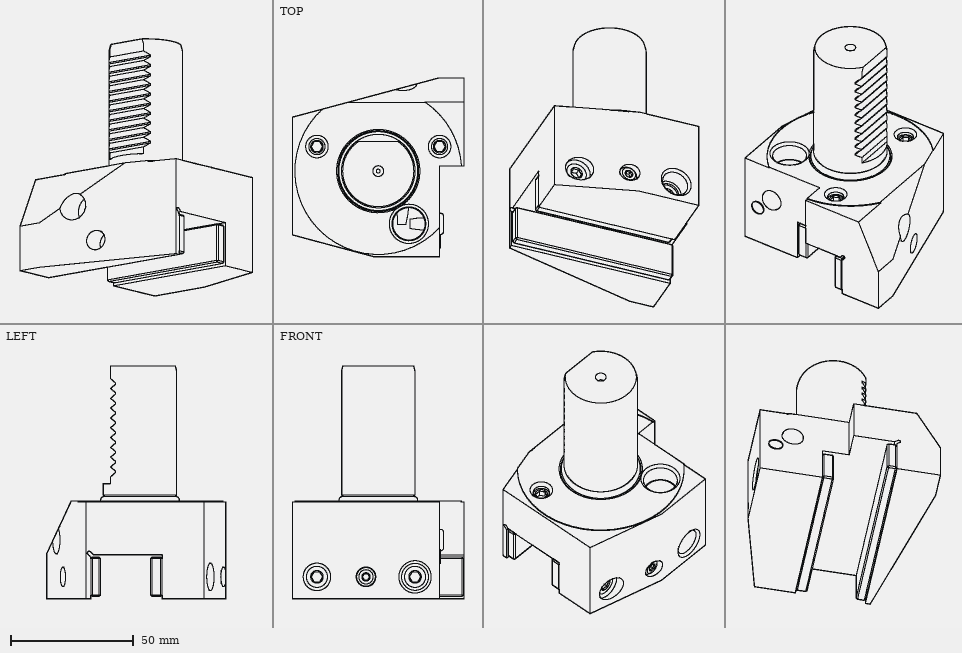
import cadquery as cq
import math

block_left = -35.0
block_right = 35.0
block_front = -35.0
block_back = 38.0
block_bottom = -40.0
step_x = 25.0
step_y = 2.0
flank_angle = 15.0
flank_slope = math.tan(math.radians(flank_angle))
front_corner_x = -1.6
back_corner_x = 24.6
disc_radius = 34.0
disc_height = 0.4
bevel_top_y = 28.0
bevel_angle = 25.0

channel_front = -9.0
channel_back = 20.0
channel_top = -22.0
relief_width = 1.4
relief_reach = 1.0
back_pad_thickness = 4.0
front_pad_thickness = 4.7
pad_top = -23.0
pad_bottom = -39.0
pad_end_gap = 0.3
pad_chamfer = 0.6

shank_radius = 15.0
shank_top = 55.0
tip_chamfer_height = 2.0
tip_chamfer_width = 0.5
shank_flat_y = 12.0
shank_flat_bottom = 7.0
tooth_count = 10
tooth_pitch = 4.0
tooth_depth = 2.0
first_tooth_z = 11.8
tooth_root = 0.6
neck_radius = 14.4
neck_top = 2.4
ring_center_radius = 14.6
ring_center_z = 0.3
ring_section_radius = 1.5
ring_groove_mouth_radius = 17.0
ring_groove_radius = 16.5
ring_groove_depth = 1.5
center_hole_radius = 2.2
center_drill_radius = 0.8
center_hole_depth = 5.0
center_hole_half_angle = 30.0

screw_z = -31.0
socket_across_flats = 4.0
socket_depth = 3.0
socket_chamfer = 0.5
screw_face_radius = 4.3

flank_screw_x = -25.0
flank_bore_radius = 5.6
flank_bore_depth = 8.5
flank_screw_depth = 9.5

face_screw_x = 15.0
face_bore_radius = 5.5
face_mouth_radius = 6.6
face_bore_depth = 8.0
face_screw_depth = 9.0

lock_screw_x = -5.0
lock_bore_radius = 4.0
lock_bore_depth = 6.0
lock_head_radius = 3.8
lock_head_face_radius = 2.9
lock_head_depth = 2.0
lock_socket_across_flats = 2.5
lock_socket_depth = 2.0

top_screw_x = 25.0
top_screw_y = 10.0
top_mouth_radius = 4.6
top_bore_radius = 3.3
top_screw_depth = 2.5

coolant_x = 12.5
coolant_y = -21.5
coolant_mouth_radius = 8.0
coolant_radius = 6.9
coolant_lower_radius = 6.6
coolant_step_depth = 8.1
coolant_depth = 16.2
coolant_tip_depth = 18.2
side_passage_radius = 2.5
side_passage_end_x = 12.9
cross_passage_radius = 2.3
passage_z = -16.0
cross_passage_x = 10.0
cross_passage_end_y = -21.8
plug_bore_radius = 5.6
back_hole_radius = 4.0
back_hole_x = 0.0
back_bore_depth = 14.0
nozzle_radius = 4.4
nozzle_height = 1.7
nozzle_rounding = 1.4
nozzle_embed = 1.0
retainer_y = -28.5
retainer_z = -22.7
retainer_radius = 2.9
retainer_height = 0.4

upward = (0, 0, 1)
downward = (0, 0, -1)
rightward = (1, 0, 0)
rearward = (0, 1, 0)
forward = (0, -1, 0)

block_length = block_right - block_left
front_flank_y = block_front + (front_corner_x - block_left) * flank_slope
back_flank_y = block_back - (back_corner_x - block_left) * flank_slope


def axis_plane(base, direction):
    """Plane at base whose normal points along direction."""
    side = rearward if direction == rightward else rightward
    return cq.Plane(base, side, direction)


def revolved(profile, base=(0, 0, 0), direction=upward):
    """Turn (radius, height) points about an axis through base along direction."""
    turned = cq.Workplane("XZ").polyline(profile).close().revolve(360, (0, 0, 0), (0, 1, 0))
    placed = turned.val().located(cq.Location(axis_plane(base, direction)))
    return cq.Workplane(placed)


def cylinder(base, direction, radius, length):
    return cq.Workplane(axis_plane(base, direction)).circle(radius).extrude(length)


def hex_socket(base, direction, across_flats, depth):
    """Hexagonal recess with a round countersunk mouth, growing from base along direction."""
    across_corners = across_flats / math.cos(math.pi / 6)
    mouth = (across_corners + socket_chamfer) / 2
    hexagon = cq.Workplane(axis_plane(base, direction)).polygon(6, across_corners).extrude(depth)
    lead_in = revolved([
        (0, 0),
        (mouth, 0),
        (mouth - socket_chamfer, socket_chamfer),
        (0, socket_chamfer),
    ], base, direction)
    return hexagon.union(lead_in)


def make_block():
    outline = (
        cq.Workplane("XY", origin=(0, 0, block_bottom))
        .polyline([
            (block_left, front_flank_y),
            (front_corner_x, block_front),
            (step_x, block_front),
            (step_x, step_y),
            (block_right, step_y),
            (block_right, block_back),
            (back_corner_x, block_back),
            (block_left, back_flank_y),
        ])
        .close()
        .extrude(-block_bottom)
    )
    disc = cylinder((0, 0, -disc_height), upward, disc_radius, disc_height)
    top_layer = (
        cq.Workplane("XY", origin=(0, 0, -disc_height))
        .rect(2 * block_length, 2 * block_length)
        .extrude(disc_height)
    )
    body = outline.cut(top_layer.cut(disc))
    bevel_drop = (block_back - bevel_top_y) / math.tan(math.radians(bevel_angle))
    bevel = (
        cq.Workplane("YZ", origin=(block_left, 0, 0))
        .polyline([(bevel_top_y, 0), (block_back, 0), (block_back, -bevel_drop)])
        .close()
        .extrude(block_length)
    )
    return body.cut(bevel)


def make_channel():
    channel = cq.Workplane("XY", origin=(block_left, channel_front, block_bottom)).box(
        block_length, channel_back - channel_front, channel_top - block_bottom, centered=False
    )
    relief = (
        cq.Workplane("YZ", origin=(block_left, channel_back, channel_top))
        .transformed(rotate=(0, 0, 45))
        .slot2D(2 * relief_reach + relief_width, relief_width)
        .extrude(block_length)
    )
    return channel.union(relief)


def make_pad(x_end, y_start, thickness):
    x_start = block_left + pad_end_gap
    return (
        cq.Workplane("XY")
        .box(x_end - x_start, thickness, pad_top - pad_bottom, centered=False)
        .edges()
        .chamfer(pad_chamfer)
        .translate((x_start, y_start, pad_bottom))
    )


def make_shank():
    tip_radius = shank_radius - tip_chamfer_width
    shank = revolved([
        (0, -ring_groove_depth),
        (neck_radius, -ring_groove_depth),
        (neck_radius, neck_top - (shank_radius - neck_radius)),
        (shank_radius, neck_top),
        (shank_radius, shank_top - tip_chamfer_height),
        (tip_radius, shank_top),
        (0, shank_top),
    ])
    flat = (
        cq.Workplane("XY", origin=(0, shank_flat_y + shank_radius / 2, shank_flat_bottom))
        .rect(2 * shank_radius, shank_radius)
        .extrude(shank_top - shank_flat_bottom)
    )
    shank = shank.cut(flat)
    for index in range(tooth_count):
        groove = (
            cq.Workplane("YZ", origin=(-shank_radius, shank_flat_y, first_tooth_z + index * tooth_pitch))
            .polyline([
                (0, -tooth_pitch / 2),
                (-tooth_depth, -tooth_root / 2),
                (-tooth_depth, tooth_root / 2),
                (0, tooth_pitch / 2),
            ])
            .close()
            .extrude(2 * shank_radius)
        )
        shank = shank.cut(groove)
    countersink_width = center_hole_radius - center_drill_radius
    countersink_depth = countersink_width / math.tan(math.radians(center_hole_half_angle))
    center_hole = revolved([
        (0, 0),
        (center_hole_radius, 0),
        (center_drill_radius, countersink_depth),
        (center_drill_radius, center_hole_depth),
        (0, center_hole_depth),
    ], (0, 0, shank_top), downward)
    return shank.cut(center_hole)


def make_seal_ring():
    return (
        cq.Workplane("XZ")
        .center(ring_center_radius, ring_center_z)
        .circle(ring_section_radius)
        .revolve(360, (-ring_center_radius, 0, 0), (-ring_center_radius, 1, 0))
    )


def make_ring_groove():
    mouth_chamfer = ring_groove_mouth_radius - ring_groove_radius
    return revolved([
        (0, 0),
        (ring_groove_mouth_radius, 0),
        (ring_groove_radius, mouth_chamfer),
        (ring_groove_radius, ring_groove_depth),
        (0, ring_groove_depth),
    ], direction=downward)


def make_flank_screw_bore():
    """Cylindrical bore and conical shoulder leading to a recessed set screw."""
    bore = revolved([
        (0, 0),
        (flank_bore_radius, 0),
        (flank_bore_radius, flank_bore_depth),
        (screw_face_radius, flank_screw_depth),
        (0, flank_screw_depth),
    ], (flank_screw_x, block_front, screw_z), rearward)
    socket_base = (flank_screw_x, block_front + flank_screw_depth, screw_z)
    return bore.union(hex_socket(socket_base, rearward, socket_across_flats, socket_depth))


def make_face_screw_bore():
    """Chamfered bore with a flat floor, in which a set screw is sunk."""
    mouth_chamfer = face_mouth_radius - face_bore_radius
    bore = revolved([
        (0, 0),
        (face_mouth_radius, 0),
        (face_bore_radius, mouth_chamfer),
        (face_bore_radius, face_bore_depth),
        (screw_face_radius, face_bore_depth),
        (screw_face_radius, face_screw_depth),
        (0, face_screw_depth),
    ], (face_screw_x, block_front, screw_z), rearward)
    socket_base = (face_screw_x, block_front + face_screw_depth, screw_z)
    return bore.union(hex_socket(socket_base, rearward, socket_across_flats, socket_depth))


def make_top_screw_bore(x):
    mouth_chamfer = top_mouth_radius - top_bore_radius
    bore = revolved([
        (0, 0),
        (top_mouth_radius, 0),
        (top_bore_radius, mouth_chamfer),
        (top_bore_radius, top_screw_depth),
        (0, top_screw_depth),
    ], (x, top_screw_y, 0), downward)
    socket_base = (x, top_screw_y, -top_screw_depth)
    return bore.union(hex_socket(socket_base, downward, socket_across_flats, socket_depth))


def make_lock_screw():
    """Chamfered screw head that stands in the lock screw bore."""
    base = (lock_screw_x, block_front + lock_head_depth, screw_z)
    length = lock_bore_depth - lock_head_depth
    head = revolved([
        (0, 0),
        (lock_head_face_radius, 0),
        (lock_head_radius, lock_head_radius - lock_head_face_radius),
        (lock_head_radius, length),
        (0, length),
    ], base, rearward)
    return head.cut(hex_socket(base, rearward, lock_socket_across_flats, lock_socket_depth))


def make_coolant_bore():
    """Stepped bore from the top with a shallow conical floor."""
    return revolved([
        (0, 0),
        (coolant_mouth_radius, 0),
        (coolant_radius, coolant_mouth_radius - coolant_radius),
        (coolant_radius, coolant_step_depth),
        (coolant_lower_radius, coolant_step_depth),
        (coolant_lower_radius, coolant_depth),
        (0, coolant_tip_depth),
    ], (coolant_x, coolant_y, 0), downward)


def make_nozzle():
    base = (step_x - nozzle_embed, coolant_y, passage_z)
    nozzle = cylinder(base, rightward, nozzle_radius, nozzle_embed + nozzle_height)
    return nozzle.faces(">X").edges().fillet(nozzle_rounding)


result = make_block().cut(make_ring_groove()).union(make_shank()).union(make_seal_ring())
result = result.cut(make_channel())

result = result.cut(make_flank_screw_bore()).cut(make_face_screw_bore())
for screw_x in (-top_screw_x, top_screw_x):
    result = result.cut(make_top_screw_bore(screw_x))
lock_bore_base = (lock_screw_x, block_front, screw_z)
result = result.cut(cylinder(lock_bore_base, rearward, lock_bore_radius, lock_bore_depth))
result = result.union(make_lock_screw())

result = result.cut(make_coolant_bore())
side_passage_base = (side_passage_end_x, coolant_y, passage_z)
result = result.cut(cylinder(side_passage_base, rightward, side_passage_radius, step_x - side_passage_end_x))
cross_passage_base = (cross_passage_x, cross_passage_end_y, passage_z)
cross_passage_length = block_back - cross_passage_end_y
result = result.cut(cylinder(cross_passage_base, rearward, cross_passage_radius, cross_passage_length))
plug_bore_base = (cross_passage_x, block_back, passage_z)
result = result.cut(cylinder(plug_bore_base, forward, plug_bore_radius, back_bore_depth))
back_hole_base = (back_hole_x, block_back, screw_z)
result = result.cut(cylinder(back_hole_base, forward, back_hole_radius, back_bore_depth))

back_pad_y = channel_back - back_pad_thickness
result = result.union(make_pad(block_right - pad_end_gap, back_pad_y, back_pad_thickness))
result = result.union(make_pad(step_x - pad_end_gap, channel_front, front_pad_thickness))
result = result.union(make_nozzle())
retainer_base = (step_x, retainer_y, retainer_z)
result = result.union(cylinder(retainer_base, rightward, retainer_radius, retainer_height))